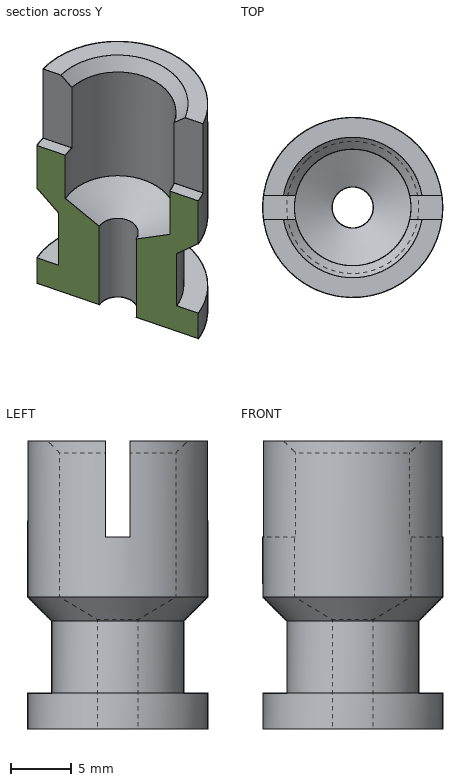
import cadquery as cq
import math

body_diameter = 15.0
neck_diameter = 11.0
total_height = 24.0
flange_height = 3.0
neck_top = 9.0
shoulder_height = (body_diameter - neck_diameter) / 2

bore_diameter = 9.7
bore_chamfer = 1.0
cone_top = neck_top + shoulder_height
cone_angle = 118.0
through_diameter = 3.4

slot_width = 2.0
slot_depth = 8.0
slot_length = body_diameter + slot_width


def make_body():
    """Flange, neck, conical shoulder and head turned about Z."""
    body_radius = body_diameter / 2
    neck_radius = neck_diameter / 2
    outline = [
        (0, 0),
        (body_radius, 0),
        (body_radius, flange_height),
        (neck_radius, flange_height),
        (neck_radius, neck_top),
        (body_radius, neck_top + shoulder_height),
        (body_radius, total_height),
        (0, total_height),
    ]
    return cq.Workplane("XZ").polyline(outline).close().revolve(360, (0, 0), (0, 1))


def make_bore():
    """Chamfered bore with a conical floor leading into the through hole."""
    bore_radius = bore_diameter / 2
    through_radius = through_diameter / 2
    cone_depth = (bore_radius - through_radius) / math.tan(math.radians(cone_angle / 2))
    outline = [
        (0, 0),
        (through_radius, 0),
        (through_radius, cone_top - cone_depth),
        (bore_radius, cone_top),
        (bore_radius, total_height - bore_chamfer),
        (bore_radius + bore_chamfer, total_height),
        (0, total_height),
    ]
    return cq.Workplane("XZ").polyline(outline).close().revolve(360, (0, 0), (0, 1))


def make_slot():
    """Rectangular slot cut down through both sides of the head."""
    return (
        cq.Workplane("XY")
        .workplane(offset=total_height - slot_depth)
        .rect(slot_length, slot_width)
        .extrude(slot_depth)
    )


result = make_body().cut(make_bore()).cut(make_slot())